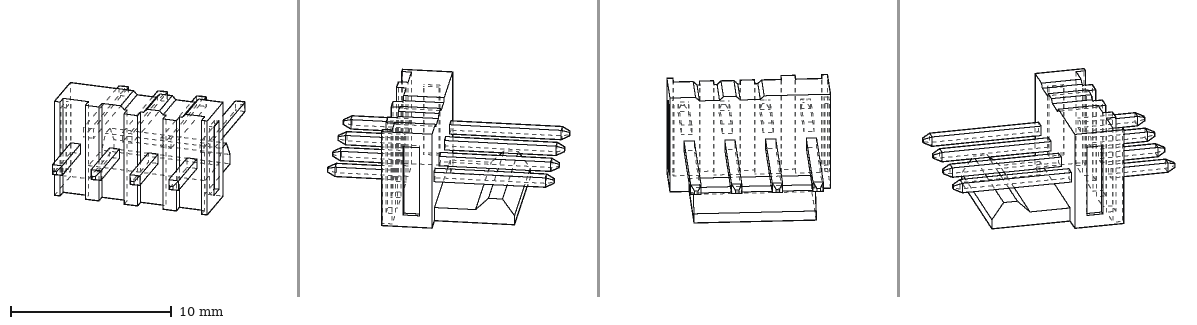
import cadquery as cq


pin_count = 4
pin_row_span = 7.62
pin_pitch = pin_row_span / (pin_count - 1)
pin_length = 14.22
pin_front_reach = 3.55
pin_width = 0.64
pin_tip_width = 0.23
pin_tip_length = 0.51
pin_height = 3.1
pin_positions = [i * pin_pitch - pin_row_span / 2 for i in range(pin_count)]

housing_width = 10.01
housing_depth = 3.15
housing_height = 6.35
front_slot_width = 1.65
front_slot_depth = 0.61

notch_positions = [0, pin_pitch]
notch_top_width = 1.73
notch_depth = 0.24

pocket_front = 1.34
pocket_width = 1.02
pocket_floor_width = 0.97
pocket_bottom = 0.8
pocket_height = 4.61
pocket_depth = 0.3

latch_width = pin_row_span
latch_length = 5.02
latch_thickness = 0.9
hook_height = 1.7
hook_end_height = 0.63
hook_lead_in = 0.75
hook_flat = 0.88
hook_rise = hook_height - latch_thickness


def upright_block(x, width, depth):
    """Block of full housing height, centred on x and reaching back from Y = 0."""
    return (
        cq.Workplane("XY")
        .box(width, depth, housing_height, centered=(True, False, False))
        .translate((x, 0, 0))
    )


def front_slot(x):
    """Full-height slot in the housing front around one pin."""
    return upright_block(x, front_slot_width, front_slot_depth)


def top_notch(x):
    """Notch with 45 degree flanks, running front to back."""
    half_top = notch_top_width / 2
    half_floor = half_top - notch_depth
    floor = housing_height - notch_depth
    return (
        cq.Workplane("XZ")
        .polyline([
            (x - half_top, housing_height),
            (x - half_floor, floor),
            (x + half_floor, floor),
            (x + half_top, housing_height),
        ])
        .close()
        .extrude(-housing_depth)
    )


def end_pocket(side):
    """Shallow pocket in one end face, narrowing towards its floor; side is -1 or 1 along X."""
    opening_x = side * housing_width / 2
    floor_x = opening_x - side * pocket_depth
    middle = pocket_front + pocket_width / 2
    half_opening = pocket_width / 2
    half_floor = pocket_floor_width / 2
    return (
        cq.Workplane("XY", origin=(0, 0, pocket_bottom))
        .polyline([
            (opening_x, middle - half_opening),
            (opening_x, middle + half_opening),
            (floor_x, middle + half_floor),
            (floor_x, middle - half_floor),
        ])
        .close()
        .extrude(pocket_height)
    )


def make_housing():
    """Block with pin slots, top notches and end pockets."""
    housing = upright_block(0, housing_width, housing_depth)
    for x in pin_positions:
        housing = housing.cut(front_slot(x))
    for x in notch_positions:
        housing = housing.cut(top_notch(x))
    for side in (-1, 1):
        housing = housing.cut(end_pocket(side))
    return housing


def make_latch():
    """Flat tongue ending in an upward hook."""
    root = housing_depth
    tip = root + latch_length
    crest_back = tip - hook_lead_in
    crest_front = crest_back - hook_flat
    return (
        cq.Workplane("YZ")
        .polyline([
            (root, 0),
            (tip, 0),
            (tip, hook_end_height),
            (crest_back, hook_height),
            (crest_front, hook_height),
            (crest_front - hook_rise, latch_thickness),
            (root, latch_thickness),
        ])
        .close()
        .extrude(latch_width / 2, both=True)
    )


def pin_section(y, first_width, last_width, length):
    """Square stretch of pin from y towards +Y, tapering between two widths."""
    return (
        cq.Workplane("XZ", origin=(0, y, pin_height))
        .rect(first_width, first_width)
        .workplane(offset=-length)
        .rect(last_width, last_width)
        .loft(ruled=True)
    )


def make_pin():
    """Square pin with a tapered tip at both ends."""
    front = -pin_front_reach
    shaft_start = front + pin_tip_length
    shaft_length = pin_length - 2 * pin_tip_length
    front_tip = pin_section(front, pin_tip_width, pin_width, pin_tip_length)
    shaft = pin_section(shaft_start, pin_width, pin_width, shaft_length)
    back_tip = pin_section(shaft_start + shaft_length, pin_width, pin_tip_width, pin_tip_length)
    return front_tip.union(shaft).union(back_tip)


result = make_housing().union(make_latch())
pin = make_pin()
for x in pin_positions:
    result = result.union(pin.translate((x, 0, 0)))